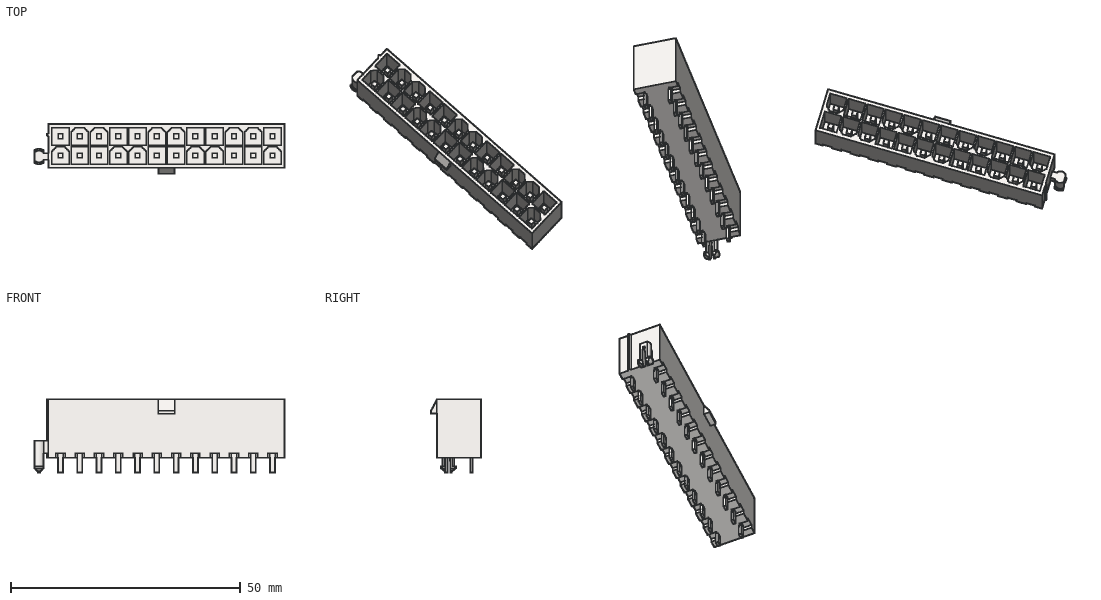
import cadquery as cq


COLUMNS = 12
PITCH = 4.2
ROW_SIDES = (-1, 1)

END_WALL = 0.75
SIDE_WALL = 0.8
CELL = 3.8
CELL_CHAMFER = 1.0
HOUSING_LENGTH = (COLUMNS - 1) * PITCH + CELL + 2 * END_WALL
HOUSING_WIDTH = PITCH + CELL + 2 * SIDE_WALL
HOUSING_HEIGHT = 12.8
CELL_FLOOR = 3.0

CONTACT_SIZE = 1.05
CONTACT_TOP = 9.0
TAIL_ROW_SPACING = 5.5
TAIL_WIDTH = 1.14
TAIL_THICKNESS = 0.55
TAIL_LENGTH = 3.2

NOTCH_WIDTH = 2.0
NOTCH_HEIGHT = 1.0

LATCH_WIDTH = 3.5
LATCH_REACH = 1.3
LATCH_RAMP_HEIGHT = 2.5
LATCH_HEIGHT = 3.15

RIB_REACH = 0.35
RIB_BASE = 0.7
RIB_CREST = 0.35
RIB_REAR_OFFSET = 2.1

PEG_Y = -2.3
PEG_RADIUS = 1.3
PEG_THICKNESS = 2.0
PEG_REACH = 3.05
PEG_TOP = 3.75
ARM_WIDTH = 1.5
ARM_BOTTOM = 1.0
BARB_RADIUS = 1.7
BARB_TOP = -1.85
BARB_TAPER_TOP = -2.2
BARB_TAPER_BOTTOM = -2.95
TIP_RADIUS = 0.75
TIP_THICKNESS = 0.6
SLOT_TOP = 2.3
SLOT_TOP_WIDTH = 0.5
SLOT_BOTTOM_WIDTH = 0.85

LEFT_END = -HOUSING_LENGTH / 2
FRONT_WALL = -HOUSING_WIDTH / 2
REAR_WALL = HOUSING_WIDTH / 2
PEG_X = LEFT_END - PEG_REACH + PEG_THICKNESS / 2


def block(x_range, y_range, z_range):
    """Box between two limits along each axis."""
    size = [high - low for low, high in (x_range, y_range, z_range)]
    return cq.Workplane("XY").box(*size, centered=False).translate((x_range[0], y_range[0], z_range[0]))


def around(centre, width):
    """Limits of a span centred on a value."""
    return (centre - width / 2, centre + width / 2)


def column_x(column):
    """Centre of a column along X."""
    return (column - (COLUMNS - 1) / 2) * PITCH


def is_chamfered(column, side):
    """Keyed cells run in pairs along a row; the two rows are opposite."""
    in_rear_pair = (column + 1) // 2 % 2 == 1
    return in_rear_pair == (side > 0)


def cell(column, side):
    """Cavity open at the top; a keyed one has both +Y corners cut off."""
    cavity = block(
        around(column_x(column), CELL),
        around(side * PITCH / 2, CELL),
        (CELL_FLOOR, HOUSING_HEIGHT),
    )
    if is_chamfered(column, side):
        cavity = cavity.faces(">Y").edges("|Z").chamfer(CELL_CHAMFER)
    return cavity


def notch(column, side):
    """Recess under the outer wall, reaching inward to the middle of the tail."""
    depth = (HOUSING_WIDTH - TAIL_ROW_SPACING) / 2
    return block(
        around(column_x(column), NOTCH_WIDTH),
        around(side * (HOUSING_WIDTH - depth) / 2, depth),
        (0, NOTCH_HEIGHT),
    )


def contact(column, side):
    """Square pin standing on the cell floor."""
    return block(
        around(column_x(column), CONTACT_SIZE),
        around(side * PITCH / 2, CONTACT_SIZE),
        (CELL_FLOOR, CONTACT_TOP),
    )


def tail(column, side):
    """Flat solder tail, rooted in the roof of its notch."""
    return block(
        around(column_x(column), TAIL_WIDTH),
        around(side * TAIL_ROW_SPACING / 2, TAIL_THICKNESS),
        (-TAIL_LENGTH, NOTCH_HEIGHT),
    )


def latch():
    """Ramp that falls outward from the top edge of the front wall."""
    ramp_bottom = HOUSING_HEIGHT - LATCH_RAMP_HEIGHT
    latch_bottom = HOUSING_HEIGHT - LATCH_HEIGHT
    return (
        cq.Workplane("YZ")
        .moveTo(FRONT_WALL, HOUSING_HEIGHT)
        .lineTo(FRONT_WALL - LATCH_REACH, ramp_bottom)
        .lineTo(FRONT_WALL - LATCH_REACH, latch_bottom)
        .lineTo(FRONT_WALL, latch_bottom)
        .close()
        .extrude(LATCH_WIDTH / 2, both=True)
    )


def rib():
    """Full-height rib on the end wall, square at the rear and sloped at the front."""
    rear = REAR_WALL - RIB_REAR_OFFSET
    return (
        cq.Workplane("XY")
        .moveTo(LEFT_END, rear)
        .lineTo(LEFT_END - RIB_REACH, rear)
        .lineTo(LEFT_END - RIB_REACH, rear - RIB_CREST)
        .lineTo(LEFT_END, rear - RIB_BASE)
        .close()
        .extrude(HOUSING_HEIGHT)
    )


def peg():
    """Round split peg with a barbed end, flattened on its -X and +X sides."""
    turned = (
        cq.Workplane("XZ")
        .moveTo(0, PEG_TOP)
        .lineTo(PEG_RADIUS, PEG_TOP)
        .lineTo(PEG_RADIUS, BARB_TOP)
        .lineTo(BARB_RADIUS, BARB_TOP)
        .lineTo(BARB_RADIUS, BARB_TAPER_TOP)
        .lineTo(TIP_RADIUS, BARB_TAPER_BOTTOM)
        .lineTo(TIP_RADIUS, -TAIL_LENGTH)
        .lineTo(0, -TAIL_LENGTH)
        .close()
        .revolve(360, (0, 0), (0, 1))
    )
    flats = (
        cq.Workplane("XZ")
        .moveTo(PEG_THICKNESS / 2, PEG_TOP)
        .lineTo(PEG_THICKNESS / 2, BARB_TAPER_TOP)
        .lineTo(TIP_THICKNESS / 2, BARB_TAPER_BOTTOM)
        .lineTo(TIP_THICKNESS / 2, -TAIL_LENGTH)
        .lineTo(0, -TAIL_LENGTH)
        .lineTo(0, PEG_TOP)
        .close()
        .extrude(BARB_RADIUS, both=True)
    )
    flats = flats.union(flats.mirror("YZ"))
    slot = (
        cq.Workplane("YZ")
        .moveTo(-SLOT_TOP_WIDTH / 2, SLOT_TOP)
        .lineTo(SLOT_TOP_WIDTH / 2, SLOT_TOP)
        .lineTo(SLOT_BOTTOM_WIDTH / 2, -TAIL_LENGTH)
        .lineTo(-SLOT_BOTTOM_WIDTH / 2, -TAIL_LENGTH)
        .close()
        .extrude(PEG_THICKNESS / 2, both=True)
    )
    return turned.intersect(flats).cut(slot).translate((PEG_X, PEG_Y, 0))


def peg_arm():
    """Web that joins the inner flat of the peg to the end wall."""
    return block(
        (PEG_X + PEG_THICKNESS / 2, LEFT_END),
        around(PEG_Y, ARM_WIDTH),
        (ARM_BOTTOM, PEG_TOP),
    )


housing = block(around(0, HOUSING_LENGTH), around(0, HOUSING_WIDTH), (0, HOUSING_HEIGHT))
positions = [(column, side) for column in range(COLUMNS) for side in ROW_SIDES]

for position in positions:
    housing = housing.cut(cell(*position)).cut(notch(*position))

for position in positions:
    housing = housing.union(contact(*position)).union(tail(*position))

result = housing.union(latch()).union(rib()).union(peg_arm()).union(peg())